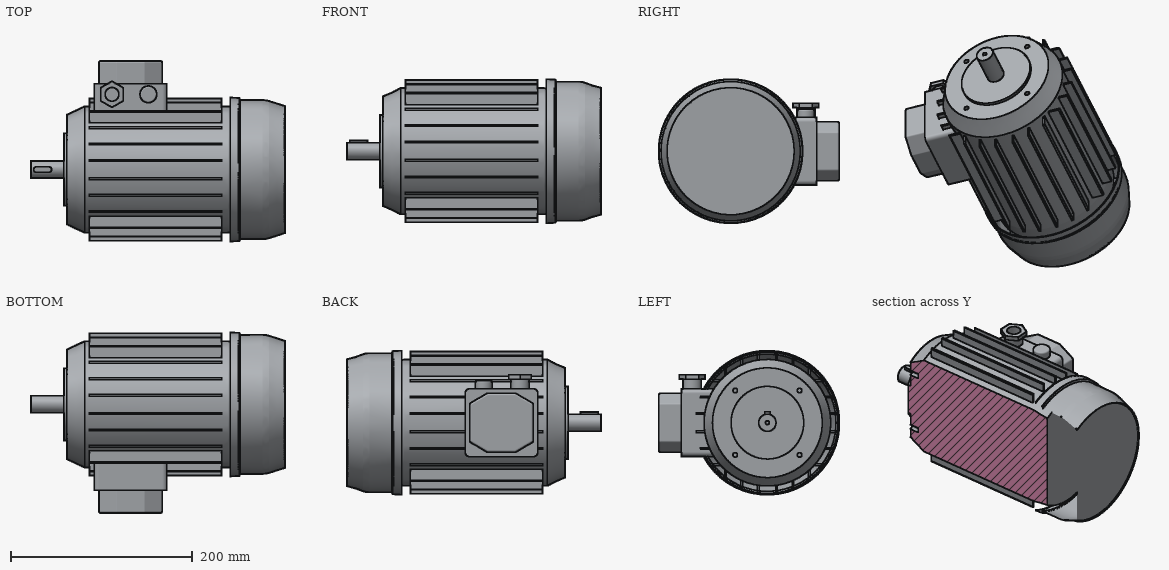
import cadquery as cq
import math

total_length = 280.0

shaft_radius = 9.5
center_hole_diameter = 4.2
center_hole_depth = 8.5
key_length = 20.0
key_width = 6.0
key_top = 12.0
key_center_x = 13.0

spigot_radius = 40.0
spigot_start = 36.5
flange_start = 39.8
flange_radius = 60.5
frame_start = 59.5
frame_radius = 69.7
straight_end = 217.0
rear_end = 236.5
rear_radius = 67.2
bolt_hole_diameter = 5.0
bolt_hole_depth = 11.2
bolt_circle_radius = 50.0
bolt_count = 4
first_bolt_angle = 45

fin_start = 64.5
fin_end = 210.0
fin_thickness = 2.0
fin_tip_radius = 79.0
fin_offsets = [10.0, 28.3, 46.2]

cover_wall = 1.0
rim_start = 219.5
rim_end = 229.5
rim_step_end = 230.7
rim_radius = 79.5
rim_end_radius = 79.0
cover_radius = 76.7
cover_bend_x = 258.7
cover_end_radius = 70.0
cover_bend_fillet = 22.5
edge_pick_margin = 0.3

box_start = 69.7
box_end = 149.8
box_width = 74.8
box_top = 94.5
box_corner_radius = 5.0
box_length = box_end - box_start
box_half_width = box_width / 2
box_center_x = (box_start + box_end) / 2

lid_length = 70.0
lid_width = 65.2
lid_top = 119.8
lid_corner_x = 19.5
lid_corner_z = 11.5
lid_fillet = 2.5

entry_y = 83.0
gland_x = 89.3
gland_stem_radius = 10.0
gland_hole_radius = 7.5
hex_across_flats = 25.0
hex_bottom = 48.0
hex_top = 53.0
plug_x = 129.5
plug_radius = 9.2
plug_top = 46.2
plug_fillet = 2.0


def revolve_about_x(points):
    """Solid of revolution from (x, radius) points."""
    return cq.Workplane("XY").polyline(points).close().revolve(360, (0, 0, 0), (1, 0, 0))


def make_key():
    key = cq.Workplane("XY").center(key_center_x, 0).slot2D(key_length, key_width)
    return key.extrude(key_top)


def make_fins():
    """Four groups of parallel fins, trimmed to a common tip cylinder."""
    length = fin_end - fin_start
    center_x = (fin_start + fin_end) / 2
    tip_diameter = 2 * fin_tip_radius
    fins = cq.Workplane("XY")
    for offset in fin_offsets:
        for side in (-offset, offset):
            upright = cq.Workplane("XY").box(length, fin_thickness, tip_diameter)
            level = cq.Workplane("XY").box(length, tip_diameter, fin_thickness)
            fins = fins.add(upright.translate((center_x, side, 0)))
            fins = fins.add(level.translate((center_x, 0, side)))
    envelope = cq.Workplane("YZ", origin=(fin_start, 0, 0)).circle(fin_tip_radius).extrude(length)
    return fins.combine().intersect(envelope)


def make_motor():
    """Frame with flange, spigot, shaft, key and fins."""
    motor = revolve_about_x([
        (0, 0),
        (0, shaft_radius),
        (spigot_start, shaft_radius),
        (spigot_start, spigot_radius),
        (flange_start, spigot_radius),
        (flange_start, flange_radius),
        (frame_start, frame_radius),
        (straight_end, frame_radius),
        (rear_end, rear_radius),
        (rear_end, 0),
    ])
    motor = motor.union(make_fins()).union(make_key())

    center_hole = cq.Workplane("YZ").circle(center_hole_diameter / 2).extrude(center_hole_depth)
    bolt_holes = (
        cq.Workplane("YZ", origin=(flange_start, 0, 0))
        .polarArray(bolt_circle_radius, first_bolt_angle, 360, bolt_count)
        .circle(bolt_hole_diameter / 2)
        .extrude(bolt_hole_depth)
    )
    return motor.cut(center_hole).cut(bolt_holes)


def make_fan_cover():
    """Thin shell, open towards the frame, with a wider rim and a tapered closed end."""
    outer = revolve_about_x([
        (rim_start, 0),
        (rim_start, rim_radius),
        (rim_end, rim_end_radius),
        (rim_step_end, cover_radius),
        (cover_bend_x, cover_radius),
        (total_length, cover_end_radius),
        (total_length, 0),
    ])
    inner = revolve_about_x([
        (rim_start, 0),
        (rim_start, rim_radius - cover_wall),
        (rim_end - cover_wall, rim_end_radius - cover_wall),
        (rim_step_end - cover_wall, cover_radius - cover_wall),
        (cover_bend_x, cover_radius - cover_wall),
        (total_length - cover_wall, cover_end_radius - cover_wall),
        (total_length - cover_wall, 0),
    ])
    bend_zone = cq.selectors.BoxSelector(
        (cover_bend_x - edge_pick_margin, -rim_radius, -rim_radius),
        (cover_bend_x + edge_pick_margin, rim_radius, rim_radius),
        boundingbox=True,
    )
    outer = outer.edges(bend_zone).fillet(cover_bend_fillet)
    inner = inner.edges(bend_zone).fillet(cover_bend_fillet - cover_wall)
    return outer.cut(inner)


def make_lid():
    """Lid with cut corners and rounded outer edges, standing on the box."""
    half_length = lid_length / 2
    half_width = lid_width / 2
    corner_x = half_length - lid_corner_x
    corner_z = half_width - lid_corner_z
    outline = [
        (half_length, -corner_z),
        (half_length, corner_z),
        (corner_x, half_width),
        (-corner_x, half_width),
        (-half_length, corner_z),
        (-half_length, -corner_z),
        (-corner_x, -half_width),
        (corner_x, -half_width),
    ]
    lid = cq.Workplane("XZ", origin=(box_center_x, box_top, 0)).polyline(outline).close()
    lid = lid.extrude(-(lid_top - box_top))
    return lid.edges("|Y").fillet(lid_fillet).faces(">Y").edges().fillet(lid_fillet)


def make_gland():
    stem = cq.Workplane("XY", origin=(gland_x, entry_y, box_half_width))
    stem = stem.circle(gland_stem_radius).extrude(hex_bottom - box_half_width)
    hex_across_corners = hex_across_flats / math.cos(math.radians(30))
    nut = (
        cq.Workplane("XY", origin=(gland_x, entry_y, hex_bottom))
        .transformed(rotate=(0, 0, 90))
        .polygon(6, hex_across_corners)
        .extrude(hex_top - hex_bottom)
    )
    hole = cq.Workplane("XY", origin=(gland_x, entry_y, box_half_width))
    hole = hole.circle(gland_hole_radius).extrude(hex_top - box_half_width)
    return stem.union(nut).cut(hole)


def make_plug():
    plug = cq.Workplane("XY", origin=(plug_x, entry_y, box_half_width)).circle(plug_radius)
    return plug.extrude(plug_top - box_half_width).faces(">Z").edges().fillet(plug_fillet)


def make_terminal_box(motor):
    """Box with lid, gland and plug; its underside is shaped to the frame and fins."""
    base = cq.Workplane("XZ", origin=(box_center_x, 0, 0)).rect(box_length, box_width)
    base = base.extrude(-box_top).edges("|Y").fillet(box_corner_radius)
    base = base.cut(motor)
    return base.union(make_lid()).union(make_gland()).union(make_plug())


motor = make_motor()
fan_cover = make_fan_cover()
terminal_box = make_terminal_box(motor)

result = cq.Compound.makeCompound([motor.val(), fan_cover.val(), terminal_box.val()])